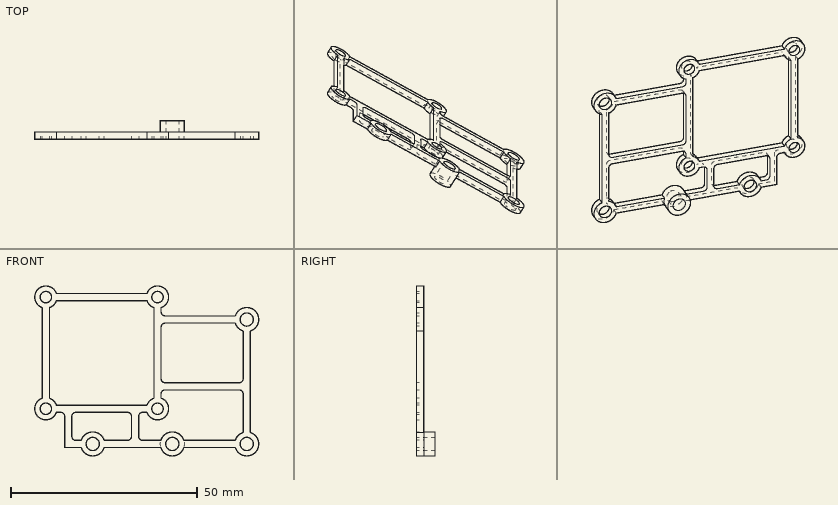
import cadquery as cq

overall_length = 60.25
overall_height = 45.7

plate_thickness = 2.0
bar_width = 2.0
corner_radius = 1.0

small_boss_diameter = 6
small_hole_diameter = 3
large_boss_diameter = 6.5
large_hole_diameter = 3.5
standoff_length = 3
total_depth = plate_thickness + standoff_length

square_pitch = 30.0
right_x = overall_length - (small_boss_diameter + large_boss_diameter) / 2
bottom_z = square_pitch + (small_boss_diameter + large_boss_diameter) / 2 - overall_height
bar_inset = 6
left_post_x = bar_inset
right_post_x = square_pitch - bar_inset
middle_rail_z = bar_inset
upper_rail_z = square_pitch - bar_inset
pad_x = 12.6
standoff_x = 34.0

small_bosses = [(0, 0), (square_pitch, 0), (0, square_pitch), (square_pitch, square_pitch)]
large_bosses = [
    (pad_x, bottom_z),
    (standoff_x, bottom_z),
    (right_x, bottom_z),
    (right_x, upper_rail_z),
]


def cylinders(points, diameter, length):
    """Cylinders at (x, z) points, running from the front face toward +Y."""
    return cq.Workplane("XZ").pushPoints(points).circle(diameter / 2).extrude(-length)


def bar(start, end):
    """Straight square-ended bar reaching half its width past both centre points."""
    (x0, z0), (x1, z1) = start, end
    return (
        cq.Workplane("XZ")
        .center((x0 + x1) / 2, (z0 + z1) / 2)
        .rect(x1 - x0 + bar_width, z1 - z0 + bar_width)
        .extrude(-plate_thickness)
    )


bars = [
    ((0, 0), (square_pitch, 0)),
    ((0, square_pitch), (square_pitch, square_pitch)),
    ((0, 0), (0, square_pitch)),
    ((square_pitch, 0), (square_pitch, square_pitch)),
    ((square_pitch, upper_rail_z), (right_x, upper_rail_z)),
    ((square_pitch, middle_rail_z), (right_x, middle_rail_z)),
    ((right_x, bottom_z), (right_x, upper_rail_z)),
    ((left_post_x, bottom_z), (right_x, bottom_z)),
    ((left_post_x, bottom_z), (left_post_x, 0)),
    ((right_post_x, bottom_z), (right_post_x, 0)),
]
frame = bar(*bars[0])
for start, end in bars[1:]:
    frame = frame.union(bar(start, end))
frame = frame.clean()

inside_corners = [
    (square_pitch, upper_rail_z, 1, 1),
    (square_pitch, upper_rail_z, 1, -1),
    (square_pitch, middle_rail_z, 1, 1),
    (square_pitch, middle_rail_z, 1, -1),
    (right_x, middle_rail_z, -1, 1),
    (right_x, middle_rail_z, -1, -1),
    (left_post_x, 0, -1, -1),
    (left_post_x, 0, 1, -1),
    (right_post_x, 0, -1, -1),
    (right_post_x, 0, 1, -1),
    (left_post_x, bottom_z, 1, 1),
    (right_post_x, bottom_z, -1, 1),
    (right_post_x, bottom_z, 1, 1),
]
for junction_x, junction_z, side_x, side_z in inside_corners:
    corner = (
        junction_x + side_x * bar_width / 2,
        plate_thickness / 2,
        junction_z + side_z * bar_width / 2,
    )
    frame = frame.edges(cq.selectors.NearestToPointSelector(corner)).fillet(corner_radius)

frame = frame.union(cylinders(small_bosses, small_boss_diameter, plate_thickness))
frame = frame.union(cylinders(large_bosses, large_boss_diameter, plate_thickness))
frame = frame.union(cylinders([(standoff_x, bottom_z)], large_boss_diameter, total_depth))

frame = frame.cut(cylinders(small_bosses, small_hole_diameter, total_depth))
result = frame.cut(cylinders(large_bosses, large_hole_diameter, total_depth))